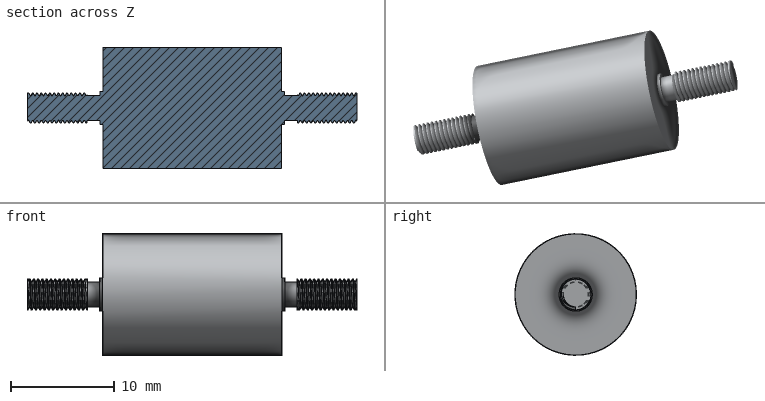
import cadquery as cq
import math

overall_length = 32.0
body_length = 17.4
body_diameter = 11.8

collar_width = 0.3
collar_diameter = 3.23

neck_diameter = 2.45
thread_diameter = 2.98
thread_pitch = 0.4
thread_turns = 14
groove_depth = 0.3
groove_angle = 60.0
groove_overcut = 0.03

half_length = overall_length / 2
half_body = body_length / 2
thread_length = thread_pitch * thread_turns
thread_radius = thread_diameter / 2


def plain_core():
    """Body with a collar and a neck on both ends."""
    steps = [
        (body_diameter, half_body),
        (collar_diameter, half_body + collar_width),
        (neck_diameter, half_length - thread_length),
    ]
    core = cq.Workplane("YZ")
    for diameter, reach in steps:
        left_face = cq.Workplane("YZ", origin=(-reach, 0, 0))
        core = core.union(left_face.circle(diameter / 2).extrude(2 * reach))
    return core


def thread_cutter():
    """Helical right-hand cutter around local Z, starting on local X."""
    root_radius = thread_radius - groove_depth
    outer_radius = thread_radius + groove_overcut
    half_mouth = (outer_radius - root_radius) * math.tan(math.radians(groove_angle / 2))
    profile = [
        (root_radius, 0),
        (outer_radius, half_mouth),
        (outer_radius, -half_mouth),
    ]
    helix = cq.Wire.makeHelix(thread_pitch, thread_length, root_radius)
    return cq.Workplane("XZ").polyline(profile).close().sweep(cq.Workplane(obj=helix), isFrenet=True)


def threaded_stud():
    """Stud along local Z, its free end on the local XY plane."""
    rod = cq.Workplane("XY").circle(thread_radius).extrude(thread_length)
    return rod.cut(thread_cutter())


left_end = cq.Plane(origin=(-half_length, 0, 0), xDir=(0, 0, 1), normal=(1, 0, 0))
right_end = cq.Plane(origin=(half_length, 0, 0), xDir=(0, 0, -1), normal=(-1, 0, 0))

result = plain_core()
stud = threaded_stud().val()
for end in (left_end, right_end):
    result = result.union(cq.Workplane(obj=stud.moved(cq.Location(end))))
result = cq.Workplane(obj=result.solids().val())